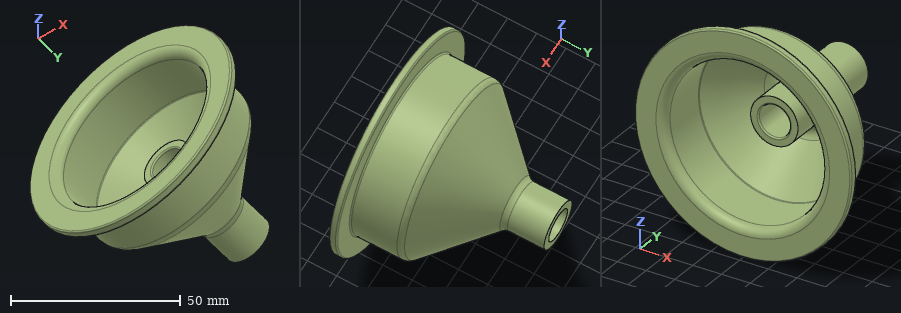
import cadquery as cq
import math

flange_diameter = 75.7
total_length = 56.3

flange_thickness = 2.8
cup_outer_diameter = 60.25
cup_inner_diameter = 54.6
shoulder_depth = 20.05
cone_slope = math.radians(44.2)

tube_diameter = 16.5
bore_diameter = 11.0
tube_front_depth = 17.4

large_radius = 3.0
edge_radius = 0.5

margin = 0.1

flange_radius = flange_diameter / 2
cup_outer_radius = cup_outer_diameter / 2
cup_inner_radius = cup_inner_diameter / 2
tube_radius = tube_diameter / 2
bore_radius = bore_diameter / 2
wall = cup_outer_radius - cup_inner_radius
inner_shoulder_depth = shoulder_depth - wall * math.tan(cone_slope / 2)
outer_cone_end = shoulder_depth + (cup_outer_radius - tube_radius) / math.tan(cone_slope)
inner_cone_end = inner_shoulder_depth + (cup_inner_radius - tube_radius) / math.tan(cone_slope)

front_y = -total_length / 2


def box_around(half_width, y):
    """Select edges lying wholly in a thin square slab about the axis at y."""
    low = (-half_width, y - margin, -half_width)
    high = (half_width, y + margin, half_width)
    return cq.selectors.BoxSelector(low, high, True)


def round_edges(body, radius, places):
    """Round the circular edges at the given (circle radius, depth) places."""
    for circle_radius, depth in places:
        y = front_y + depth
        circle = box_around(circle_radius + margin, y) - box_around(circle_radius - margin, y)
        body = body.edges(circle).fillet(radius)
    return body


section = [
    (cup_inner_radius, 0),
    (flange_radius, 0),
    (flange_radius, flange_thickness),
    (cup_outer_radius, flange_thickness),
    (cup_outer_radius, shoulder_depth),
    (tube_radius, outer_cone_end),
    (tube_radius, total_length),
    (bore_radius, total_length),
    (bore_radius, tube_front_depth),
    (tube_radius, tube_front_depth),
    (tube_radius, inner_cone_end),
    (cup_inner_radius, inner_shoulder_depth),
]
funnel = (
    cq.Workplane("XY")
    .polyline([(radius, front_y + depth) for radius, depth in section])
    .close()
    .revolve(360, (0, 0, 0), (0, 1, 0))
)

funnel = round_edges(
    funnel,
    large_radius,
    [
        (cup_inner_radius, 0),
        (cup_outer_radius, shoulder_depth),
        (tube_radius, outer_cone_end),
        (tube_radius, inner_cone_end),
    ],
)

funnel = round_edges(
    funnel,
    edge_radius,
    [
        (flange_radius, 0),
        (flange_radius, flange_thickness),
        (cup_outer_radius, flange_thickness),
        (cup_inner_radius, inner_shoulder_depth),
        (bore_radius, tube_front_depth),
    ],
)

result = funnel